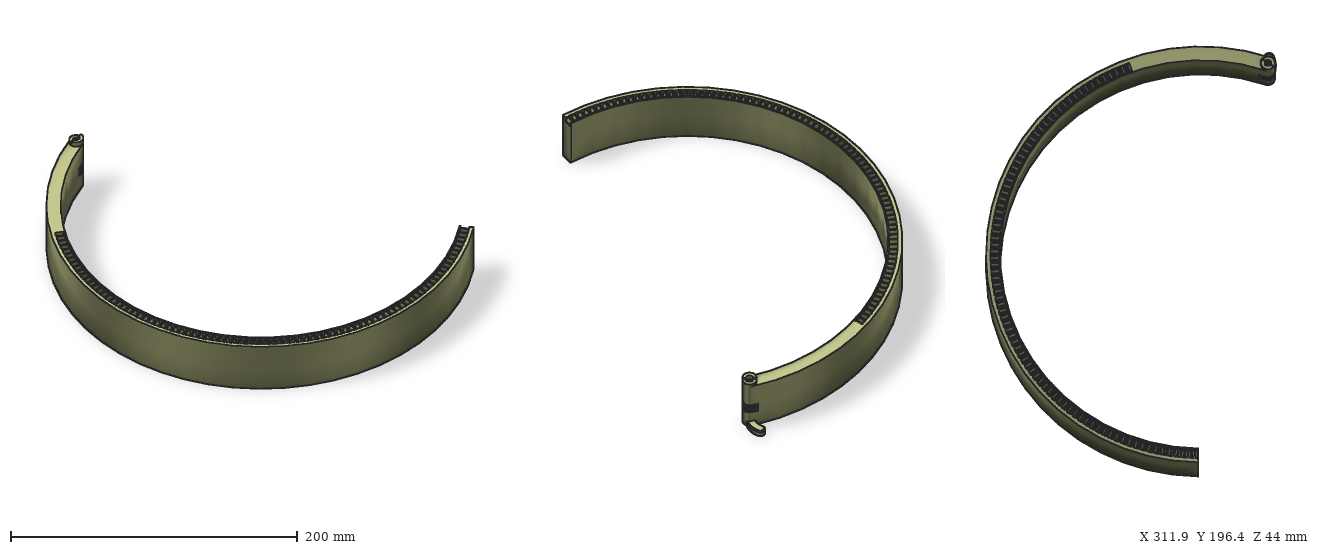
import cadquery as cq
import math

OUTER_RADIUS = 150.0
BAND_THICKNESS = 10.0
INNER_RADIUS = OUTER_RADIUS - BAND_THICKNESS
BAND_HEIGHT = 40.0
FREE_END_ANGLE = 18.0
HINGE_ANGLE = -180.0
BOTTOM_CHAMFER = 1.0

RACK_INNER_WALL = 1.0
RACK_OUTER_WALL = 3.0
RACK_INNER_RADIUS = INNER_RADIUS + RACK_INNER_WALL
RACK_OUTER_RADIUS = OUTER_RADIUS - RACK_OUTER_WALL
NOTCH_COUNT = 84
NOTCH_PITCH = 1.91
NOTCH_DEPTH = 3.7
NOTCH_TOP_WIDTH = 3.7
NOTCH_FLOOR_WIDTH = 1.0

HINGE_X = -(INNER_RADIUS + BAND_THICKNESS / 2)
BARREL_RADIUS = BAND_THICKNESS / 2
BARREL_TOP = 42.0
PIN_HOLE_DIAMETER = 3.5
COUNTERBORE_DIAMETER = 4.7
COUNTERBORE_FLOOR = BAND_HEIGHT

HALF_RING_TOP = 44.0
HALF_RING_TURN = 15.0

NECK_BOTTOM = 14.5
RIDGE_PITCH = 1.0
RIDGE_COUNT = 7
NECK_HEIGHT = RIDGE_COUNT * RIDGE_PITCH
NECK_ROOT_DIAMETER = 9.0
NECK_ROOT_RADIUS = NECK_ROOT_DIAMETER / 2

FINGER_WIDTH = 7.0
FINGER_HEIGHT = 5.5
FINGER_CHAMFER = 1.0
FINGER_BEND_RADIUS = 11.5
FINGER_BEND_ANGLE = 47.0
FINGER_ROOT_OFFSET = BARREL_RADIUS

CUT_MARGIN = 3.0


def polar(radius, degrees):
    angle = math.radians(degrees)
    return (radius * math.cos(angle), radius * math.sin(angle))


def ring_sector(inner, outer, start, end, bottom, top):
    """Sector of a flat ring, swept clockwise from start to end (degrees)."""
    middle = (start + end) / 2
    return (
        cq.Workplane("XY", origin=(0, 0, bottom))
        .moveTo(*polar(outer, start))
        .threePointArc(polar(outer, middle), polar(outer, end))
        .lineTo(*polar(inner, end))
        .threePointArc(polar(inner, middle), polar(inner, start))
        .close()
        .extrude(top - bottom)
    )


def barrel_cylinder(radius, bottom, top):
    """Upright cylinder on the hinge axis."""
    return cq.Workplane("XY", origin=(HINGE_X, 0, bottom)).circle(radius).extrude(top - bottom)


def make_band():
    band = ring_sector(INNER_RADIUS, OUTER_RADIUS, FREE_END_ANGLE, HINGE_ANGLE, 0, BAND_HEIGHT)
    return band.faces("<Z").edges("%CIRCLE").chamfer(BOTTOM_CHAMFER)


def make_rack_cut():
    """Evenly spaced radial notches, clipped between the two side walls of the rack."""
    floor = BAND_HEIGHT - NOTCH_DEPTH
    half_top = NOTCH_TOP_WIDTH / 2
    half_floor = NOTCH_FLOOR_WIDTH / 2
    notch = (
        cq.Workplane("YZ", origin=(RACK_INNER_RADIUS - CUT_MARGIN, 0, 0))
        .moveTo(-half_top, BAND_HEIGHT)
        .lineTo(-half_floor, floor)
        .lineTo(half_floor, floor)
        .lineTo(half_top, BAND_HEIGHT)
        .close()
        .extrude(RACK_OUTER_RADIUS - RACK_INNER_RADIUS + 2 * CUT_MARGIN)
        .val()
    )
    notches = [
        notch.rotate((0, 0, 0), (0, 0, 1), FREE_END_ANGLE - i * NOTCH_PITCH)
        for i in range(NOTCH_COUNT)
    ]
    rack_zone = ring_sector(
        RACK_INNER_RADIUS,
        RACK_OUTER_RADIUS,
        FREE_END_ANGLE,
        FREE_END_ANGLE - (NOTCH_COUNT - 1 / 2) * NOTCH_PITCH,
        floor - CUT_MARGIN,
        BAND_HEIGHT,
    )
    return rack_zone.intersect(cq.Workplane(cq.Compound.makeCompound(notches)))


def make_neck():
    """Stack of V ridges turned about the hinge axis."""
    profile = cq.Workplane("XZ").moveTo(0, NECK_BOTTOM).lineTo(NECK_ROOT_RADIUS, NECK_BOTTOM)
    for i in range(RIDGE_COUNT):
        ridge_bottom = NECK_BOTTOM + i * RIDGE_PITCH
        profile = profile.lineTo(BARREL_RADIUS, ridge_bottom + RIDGE_PITCH / 2)
        profile = profile.lineTo(NECK_ROOT_RADIUS, ridge_bottom + RIDGE_PITCH)
    profile = profile.lineTo(0, NECK_BOTTOM + NECK_HEIGHT).close()
    return profile.revolve(360, (0, 0, 0), (0, 1, 0)).translate((HINGE_X, 0, 0))


def make_window():
    """Box that clears the band and barrel away around the neck."""
    size = 2 * BARREL_RADIUS + CUT_MARGIN
    return cq.Workplane("XY", origin=(HINGE_X, size / 2 - BARREL_RADIUS, NECK_BOTTOM)).box(
        size, size, NECK_HEIGHT, centered=(True, True, False)
    )


def make_half_ring():
    """Inward-facing half of a disc, split by a plane through the hinge axis."""
    ring = barrel_cylinder(BARREL_RADIUS, BARREL_TOP, HALF_RING_TOP)
    size = 4 * BARREL_RADIUS
    keep = (
        cq.Workplane("XY", origin=(0, 0, BARREL_TOP))
        .box(size, size, size, centered=(False, True, False))
        .rotate((0, 0, 0), (0, 0, 1), -HALF_RING_TURN)
        .translate((HINGE_X, 0, 0))
    )
    return ring.intersect(keep)


def make_finger():
    """Constant-width arm bent about a centre below its root, with a round tip."""
    half = FINGER_WIDTH / 2
    outer = FINGER_BEND_RADIUS + half
    inner = FINGER_BEND_RADIUS - half
    tip = 90 + FINGER_BEND_ANGLE
    middle = 90 + FINGER_BEND_ANGLE / 2
    tip_x, tip_y = polar(FINGER_BEND_RADIUS, tip)
    end_x, end_y = polar(half, tip + 90)
    finger = (
        cq.Workplane("XY")
        .moveTo(FINGER_ROOT_OFFSET, outer)
        .lineTo(0, outer)
        .threePointArc(polar(outer, middle), polar(outer, tip))
        .threePointArc((tip_x + end_x, tip_y + end_y), polar(inner, tip))
        .threePointArc(polar(inner, middle), (0, inner))
        .lineTo(FINGER_ROOT_OFFSET, inner)
        .close()
        .extrude(FINGER_HEIGHT)
        .faces("<Z or >Z")
        .chamfer(FINGER_CHAMFER)
    )
    return finger.translate((HINGE_X - FINGER_ROOT_OFFSET, -FINGER_BEND_RADIUS, 0))


band = make_band().cut(make_rack_cut())
barrel = barrel_cylinder(BARREL_RADIUS, 0, BARREL_TOP).faces("<Z").chamfer(BOTTOM_CHAMFER)
body = band.union(barrel).cut(make_window()).union(make_neck())
body = body.union(make_finger()).union(make_half_ring())
body = body.cut(barrel_cylinder(PIN_HOLE_DIAMETER / 2, -CUT_MARGIN, HALF_RING_TOP))
result = body.cut(barrel_cylinder(COUNTERBORE_DIAMETER / 2, COUNTERBORE_FLOOR, HALF_RING_TOP))